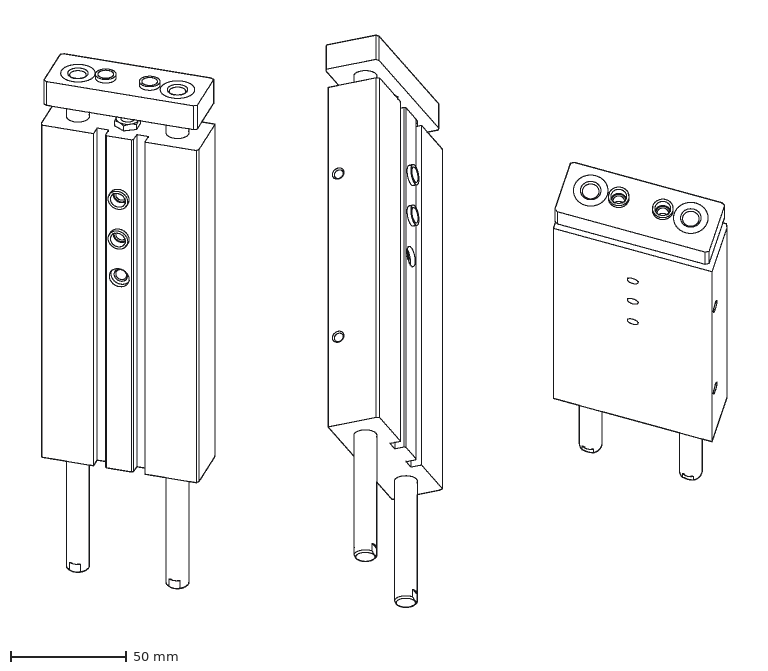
import cadquery as cq
import math


housing_width = 72.0
housing_depth = 24.0
housing_length = 167.5
housing_front = -housing_depth / 2
corner_chamfer_x = 0.8
corner_chamfer_y = 1.5

slot_inner_x = 6.4
slot_outer_x = 11.7
slot_depth = 5.0
slot_lip_chamfer = 0.7

port_diameter = 4.13
port_mouth_diameter = 5.4
port_depth = 8.0
port_tip_angle = 118.0
port_y = 7.2
port_heights = (43.5, 124.0)

sleeve_diameter = 9.0
sleeve_bore = 6.8
sleeve_seat_depth = 2.2
sleeve_projection = 1.8
mounting_hole_diameter = 4.92
mounting_hole_mouth_diameter = 6.0
mounting_hole_pitch = 20.0
mounting_hole_count = 3
mounting_hole_top = 137.0
mounting_heights = [mounting_hole_top - i * mounting_hole_pitch for i in range(mounting_hole_count)]
housing_sleeve_count = 2

plate_width = 70.0
plate_thickness = 12.0
plate_back = 14.0
plate_depth = 25.0
plate_corner_chamfer_x = 1.5
plate_corner_chamfer_y = 0.9
plate_gap = 9.7
plate_bottom = housing_length + plate_gap
plate_top = plate_bottom + plate_thickness
plate_hole_x = 10.0
plate_hole_depth = 8.0

rod_x = 22.7
rod_diameter = 10.0
rod_overhang = 60.0
rod_chamfer = 0.8
rod_across_flats = 8.6
rod_flat_length = 4.5
rod_head_diameter = 15.0
rod_head_height = 6.0
dimple_mouth_diameter = 8.88
dimple_floor_diameter = 7.2

screw_diameter = 6.0
hex_across_flats = 10.0
hex_chamfer_height = 0.5
lock_nut_height = 3.2
screw_head_height = 3.0


def cylinder(diameter, bottom, top, x=0):
    return cq.Workplane("XY", origin=(x, 0, bottom)).circle(diameter / 2).extrude(top - bottom)


def mounting_hole(depth):
    """Drilled hole below Z = 0 with a sleeve seat and a countersink in the seat floor."""
    radius = mounting_hole_diameter / 2
    mouth_radius = mounting_hole_mouth_diameter / 2
    seat_radius = sleeve_diameter / 2
    profile = [
        (0, 0),
        (seat_radius, 0),
        (seat_radius, -sleeve_seat_depth),
        (mouth_radius, -sleeve_seat_depth),
        (radius, -sleeve_seat_depth - (mouth_radius - radius)),
        (radius, -depth),
        (0, -depth),
    ]
    return cq.Workplane("XZ").polyline(profile).close().revolve(360, (0, 0), (0, 1))


def on_plate_top(part, side):
    return part.translate((side * plate_hole_x, 0, plate_top))


def on_housing_front(part, height):
    """Turn a part from +Z to -Y and place it on the housing front."""
    return part.rotate((0, 0, 0), (1, 0, 0), 90).translate((0, housing_front, height))


def sensor_slot(side):
    """Open groove with a chamfered inner lip, over the whole housing length."""
    floor_y = housing_front + slot_depth
    points = [
        (slot_inner_x - slot_lip_chamfer, housing_front),
        (slot_inner_x, housing_front + slot_lip_chamfer),
        (slot_inner_x, floor_y),
        (slot_outer_x, floor_y),
        (slot_outer_x, housing_front),
    ]
    outline = [(side * x, y) for x, y in points]
    return cq.Workplane("XY").polyline(outline).close().extrude(housing_length)


def air_port(height):
    """Blind drilled hole with a chamfered mouth and a conical tip, along +X."""
    radius = port_diameter / 2
    mouth_radius = port_mouth_diameter / 2
    tip_length = radius / math.tan(math.radians(port_tip_angle / 2))
    profile = [
        (0, 0),
        (0, mouth_radius),
        (mouth_radius - radius, radius),
        (port_depth, radius),
        (port_depth + tip_length, 0),
    ]
    origin = (-housing_width / 2, port_y, height)
    return cq.Workplane("XY", origin=origin).polyline(profile).close().revolve(360, (0, 0), (1, 0))


def make_housing():
    half_width = housing_width / 2
    outline = [
        (-half_width, -housing_front),
        (-half_width, housing_front + corner_chamfer_y),
        (-half_width + corner_chamfer_x, housing_front),
        (half_width - corner_chamfer_x, housing_front),
        (half_width, housing_front + corner_chamfer_y),
        (half_width, -housing_front),
    ]
    body = cq.Workplane("XY").polyline(outline).close().extrude(housing_length)
    for side in (-1, 1):
        body = body.cut(sensor_slot(side))
        body = body.cut(cylinder(rod_diameter, 0, housing_length, side * rod_x))
    for height in mounting_heights:
        body = body.cut(on_housing_front(mounting_hole(housing_depth), height))
    for height in port_heights:
        body = body.cut(air_port(height))
    return body


def chamfered_hex(bottom, height, chamfered_end):
    """Hexagon with corners on the Y axis; one end is turned down to its across-flats circle."""
    corner_diameter = hex_across_flats / math.cos(math.pi / 6)
    prism = cq.Workplane("XY", origin=(0, 0, bottom)).polygon(6, corner_diameter).extrude(height)
    prism = prism.rotate((0, 0, 0), (0, 0, 1), 90)
    chamfer_width = (corner_diameter - hex_across_flats) / 2
    envelope = cylinder(corner_diameter, bottom, bottom + height)
    envelope = envelope.faces(chamfered_end).chamfer(hex_chamfer_height, chamfer_width)
    return prism.intersect(envelope)


def make_end_plate():
    """Plate together with the stop screw and lock nut fixed to its underside."""
    half_width = plate_width / 2
    half_depth = plate_depth / 2
    inner_x = half_width - plate_corner_chamfer_x
    inner_y = half_depth - plate_corner_chamfer_y
    outline = [
        (inner_x, half_depth),
        (half_width, inner_y),
        (half_width, -inner_y),
        (inner_x, -half_depth),
        (-inner_x, -half_depth),
        (-half_width, -inner_y),
        (-half_width, inner_y),
        (-inner_x, half_depth),
    ]
    centre = (0, plate_back - half_depth, plate_bottom)
    plate = cq.Workplane("XY", origin=centre).polyline(outline).close().extrude(plate_thickness)
    for side in (-1, 1):
        x = side * rod_x
        plate = plate.cut(cylinder(rod_diameter, plate_bottom, plate_top, x))
        plate = plate.cut(cylinder(rod_head_diameter, plate_top - rod_head_height, plate_top, x))
        plate = plate.cut(on_plate_top(mounting_hole(plate_hole_depth), side))
    plate = plate.union(chamfered_hex(plate_bottom - lock_nut_height, lock_nut_height, "<Z"))
    plate = plate.union(cylinder(screw_diameter, housing_length, plate_bottom))
    return plate.union(chamfered_hex(housing_length, screw_head_height, ">Z"))


def head_dimple():
    """Shallow 45 degree dimple in the top face of a rod head."""
    depth = (dimple_mouth_diameter - dimple_floor_diameter) / 2
    mouth = cq.Workplane("XY", origin=(0, 0, plate_top)).circle(dimple_mouth_diameter / 2)
    return mouth.workplane(offset=-depth).circle(dimple_floor_diameter / 2).loft(ruled=True)


def make_rod(x):
    """Guide rod with a dimpled head flush in the end plate and two wrench flats at its free end."""
    rod = cylinder(rod_diameter, -rod_overhang, plate_top).faces("<Z").chamfer(rod_chamfer)
    cutter_y = (rod_across_flats + rod_diameter) / 2
    flat_cutters = (
        cq.Workplane("XY", origin=(0, 0, -rod_overhang))
        .pushPoints([(0, -cutter_y), (0, cutter_y)])
        .rect(rod_diameter, rod_diameter)
        .extrude(rod_flat_length)
    )
    rod = rod.cut(flat_cutters)
    rod = rod.union(cylinder(rod_head_diameter, plate_top - rod_head_height, plate_top))
    rod = rod.cut(head_dimple())
    return rod.translate((x, 0, 0))


def make_sleeve():
    """Plain ring along Z, seated below Z = 0 and standing proud of it."""
    ring = cylinder(sleeve_diameter, -sleeve_seat_depth, sleeve_projection)
    return ring.cut(cylinder(sleeve_bore, -sleeve_seat_depth, sleeve_projection))


housing = make_housing()
end_plate = make_end_plate()
rods = [make_rod(side * rod_x) for side in (-1, 1)]
plate_sleeves = [on_plate_top(make_sleeve(), side) for side in (-1, 1)]
sleeved_heights = mounting_heights[:housing_sleeve_count]
housing_sleeves = [on_housing_front(make_sleeve(), height) for height in sleeved_heights]

bodies = [housing, end_plate, *rods, *plate_sleeves, *housing_sleeves]
result = cq.Compound.makeCompound([body.val() for body in bodies])